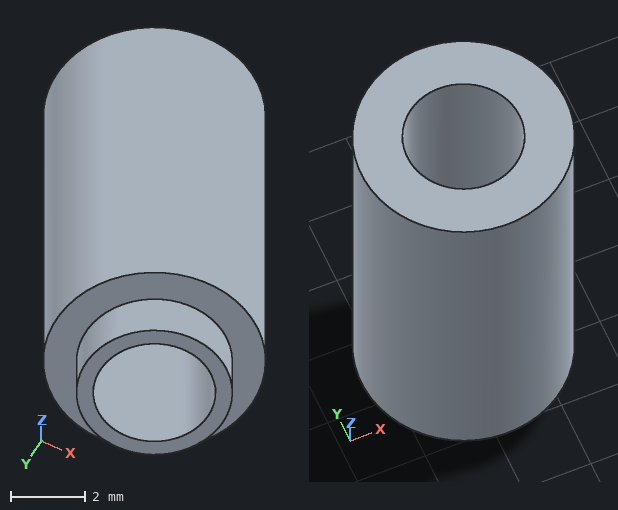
import cadquery as cq

total_height = 12.4
body_diameter = 6.0
spigot_diameter = 4.2
spigot_height = 1.4
bore_diameter = 3.3

body_height = total_height - spigot_height

spigot = cq.Workplane("XY").circle(spigot_diameter / 2).extrude(spigot_height)
body = (
    cq.Workplane("XY")
    .workplane(offset=spigot_height)
    .circle(body_diameter / 2)
    .extrude(body_height)
)

bore = cq.Workplane("XY").circle(bore_diameter / 2).extrude(total_height)

result = spigot.union(body).cut(bore)